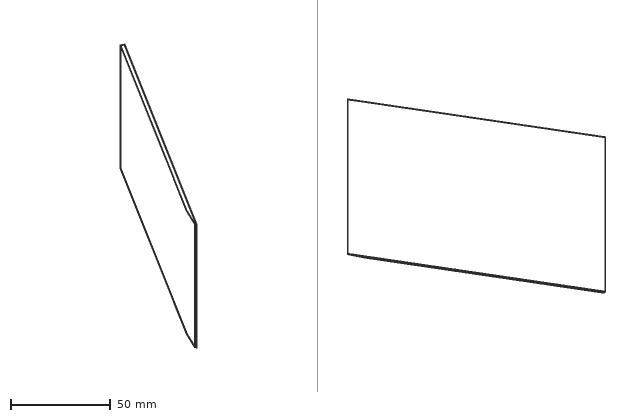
import cadquery as cq

length = 143.8
height = 82.0
depth = 6.5

thickness = 2.2
bevel_start = 132.6
tip_thickness = 0.7
tip_setback = 0.5

front_drop = depth - thickness
slope = front_drop / bevel_start
tip_back_y = -slope * length

profile = [
    (0, 0),
    (length, tip_back_y),
    (length - tip_setback, tip_back_y - tip_thickness),
    (bevel_start, -depth),
    (0, -thickness),
]

result = cq.Workplane("XY").polyline(profile).close().extrude(height)